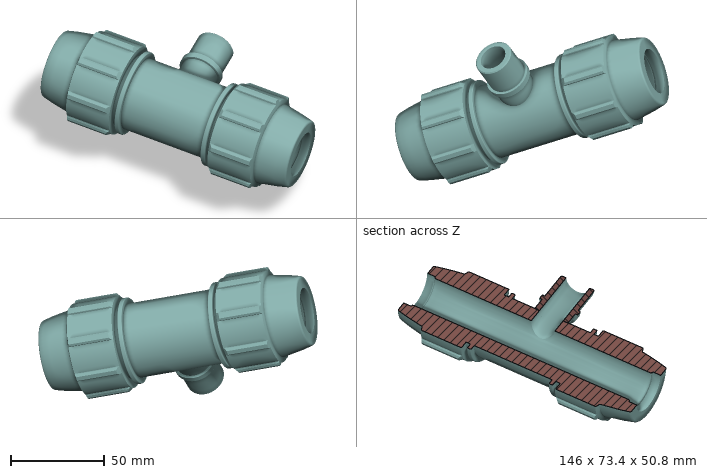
import cadquery as cq
import math

LENGTH = 146.0
PIPE_DIAMETER = 40.5
BORE_DIAMETER = 22.5
SOCKET_DIAMETER = 25.0
SOCKET_DEPTH = 4.8
GROOVE_DEPTH = 0.5

RING_DIAMETER = 47.0
RING_WIDTH = 2.5
RING_CENTRE_X = 25.5
RING_EDGE_FILLET = 0.5

NUT_INNER_X = 29.3
NUT_OUTER_X = 55.6
NUT_RADIUS = 25.1
NUT_FACE_SLOPE_DEPTH = 1.6
NUT_FACE_RADIUS = 22.5

RIB_COUNT = 8
RIB_TIP_RADIUS = 27.0
RIB_SHOULDER_RADIUS = 26.0
RIB_TIP_WIDTH = 2.5
RIB_WIDTH = 4.5
RIB_END_CHAMFER_LENGTH = 1.9

NOSE_TIP_RADIUS = 18.8
NOSE_BULGE = 0.3
NOSE_TIP_FILLET = 1.2

BRANCH_TIP_Y = 48.0
BRANCH_DIAMETER = 21.0
BRANCH_BORE_DIAMETER = 14.6
BRANCH_TIP_CHAMFER = 0.6
COLLAR_DIAMETER = 24.1
COLLAR_START_Y = 27.6
COLLAR_WIDTH = 3.2


def rod_x(diameter, start_x, end_x):
    """Round bar along X."""
    return cq.Workplane("YZ", origin=(start_x, 0, 0)).circle(diameter / 2).extrude(end_x - start_x)


def rod_y(diameter, start_y, end_y):
    """Round bar along Y."""
    return cq.Workplane("XZ", origin=(0, start_y, 0)).circle(diameter / 2).extrude(start_y - end_y)


def revolve_about_x(outline):
    """Turn a closed XY outline about the X axis."""
    return outline.close().revolve(360, (0, 0, 0), (1, 0, 0))


def make_rib(angle):
    """One straight-sided rib with bevelled tip corners, rooted inside the nut."""
    half_width = RIB_WIDTH / 2
    half_tip = RIB_TIP_WIDTH / 2
    rib = (
        cq.Workplane("YZ", origin=(NUT_INNER_X, 0, 0))
        .moveTo(-half_width, NUT_FACE_RADIUS)
        .lineTo(-half_width, RIB_SHOULDER_RADIUS)
        .lineTo(-half_tip, RIB_TIP_RADIUS)
        .lineTo(half_tip, RIB_TIP_RADIUS)
        .lineTo(half_width, RIB_SHOULDER_RADIUS)
        .lineTo(half_width, NUT_FACE_RADIUS)
        .close()
        .extrude(NUT_OUTER_X - NUT_INNER_X)
    )
    return rib.rotate((0, 0, 0), (1, 0, 0), angle)


def make_nut():
    """Ribbed nut at the +X end, with sloped outer face and chamfered rib ends."""
    nut = rod_x(2 * NUT_RADIUS, NUT_INNER_X, NUT_OUTER_X)
    pitch = 360 / RIB_COUNT
    for index in range(RIB_COUNT):
        nut = nut.union(make_rib((index + 0.5) * pitch))
    envelope_radius = math.hypot(RIB_TIP_RADIUS, RIB_TIP_WIDTH / 2)
    envelope = revolve_about_x(
        cq.Workplane("XY")
        .moveTo(NUT_INNER_X, 0)
        .lineTo(NUT_INNER_X, NUT_RADIUS)
        .lineTo(NUT_INNER_X + RIB_END_CHAMFER_LENGTH, envelope_radius)
        .lineTo(NUT_OUTER_X - NUT_FACE_SLOPE_DEPTH, envelope_radius)
        .lineTo(NUT_OUTER_X, NUT_FACE_RADIUS)
        .lineTo(NUT_OUTER_X, 0)
    )
    return nut.intersect(envelope)


def make_nose():
    """Slightly bulged taper from the nut face to the rounded tip at the +X end."""
    tip_x = LENGTH / 2
    middle_x = (NUT_OUTER_X + tip_x) / 2
    middle_radius = (NUT_FACE_RADIUS + NOSE_TIP_RADIUS) / 2 + NOSE_BULGE
    nose = revolve_about_x(
        cq.Workplane("XY")
        .moveTo(NUT_OUTER_X, 0)
        .lineTo(NUT_OUTER_X, NUT_FACE_RADIUS)
        .threePointArc((middle_x, middle_radius), (tip_x, NOSE_TIP_RADIUS))
        .lineTo(tip_x, 0)
    )
    return nose.faces(">X").edges().fillet(NOSE_TIP_FILLET)


def make_ring():
    """Stop ring on the +X side of the pipe, with rounded rims."""
    ring = rod_x(RING_DIAMETER, RING_CENTRE_X - RING_WIDTH / 2, RING_CENTRE_X + RING_WIDTH / 2)
    return ring.edges().fillet(RING_EDGE_FILLET)


def make_socket():
    """Hollow of the +X pipe socket: flat seat, then a 45-degree V-groove just behind it."""
    mouth_x = LENGTH / 2
    seat_x = mouth_x - SOCKET_DEPTH
    groove_bottom_x = seat_x - GROOVE_DEPTH
    groove_end_x = groove_bottom_x - GROOVE_DEPTH
    bore_radius = BORE_DIAMETER / 2
    return revolve_about_x(
        cq.Workplane("XY")
        .moveTo(groove_end_x, 0)
        .lineTo(groove_end_x, bore_radius)
        .lineTo(groove_bottom_x, bore_radius + GROOVE_DEPTH)
        .lineTo(seat_x, bore_radius)
        .lineTo(seat_x, SOCKET_DIAMETER / 2)
        .lineTo(mouth_x, SOCKET_DIAMETER / 2)
        .lineTo(mouth_x, 0)
    )


def make_run():
    """Straight run: pipe, rings, nuts and noses, bored through and open to the branch."""
    run = rod_x(PIPE_DIAMETER, -NUT_INNER_X, NUT_INNER_X)
    end = make_nut().union(make_nose())
    for half in (end, make_ring()):
        run = run.union(half).union(half.mirror("YZ"))
    run = run.cut(rod_x(BORE_DIAMETER, -LENGTH / 2, LENGTH / 2))
    socket = make_socket()
    run = run.cut(socket).cut(socket.mirror("YZ"))
    return run.cut(rod_y(BRANCH_BORE_DIAMETER, 0, PIPE_DIAMETER / 2))


def make_branch():
    """Spigot whose foot is shaped to sit on the outside of the pipe."""
    branch = rod_y(BRANCH_DIAMETER, 0, BRANCH_TIP_Y).faces(">Y").edges().chamfer(BRANCH_TIP_CHAMFER)
    branch = branch.union(rod_y(COLLAR_DIAMETER, COLLAR_START_Y, COLLAR_START_Y + COLLAR_WIDTH))
    branch = branch.cut(rod_x(PIPE_DIAMETER, -NUT_INNER_X, NUT_INNER_X))
    return branch.cut(rod_y(BRANCH_BORE_DIAMETER, 0, BRANCH_TIP_Y))


run = make_run()
branch = make_branch()
result = cq.Compound.makeCompound([run.val(), branch.val()])